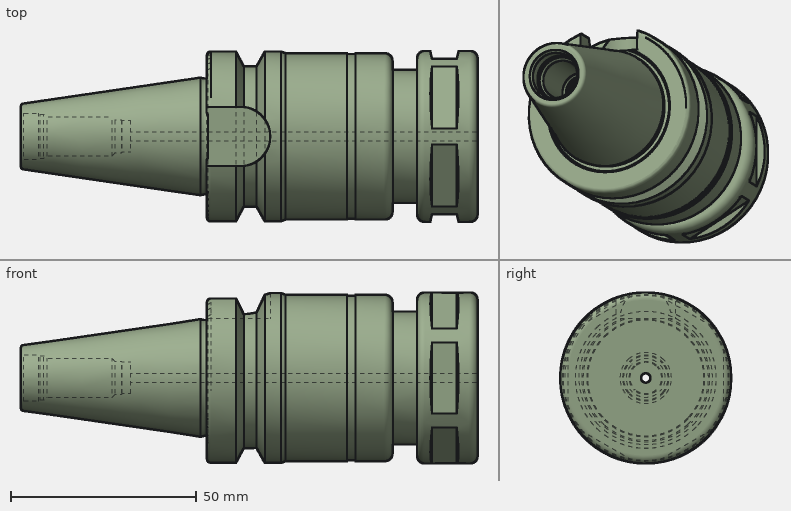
import cadquery as cq
import math

total_length = 123.4

taper_length = 48.5
taper_small_radius = 17.9 / 2
taper_large_radius = 15.9
taper_end_fillet = 0.9
relief_radius = 15.7
relief_chamfer = 1.1

flange_radius = 23.0
flange_start = 50.2
flange_end = 70.3
flange_fillet = 1.1
face_recess_radius = 17.3
face_recess_floor_radius = 16.9
face_recess_depth = 0.4
groove_radius = 19.0
groove_left_rim = 58.1
groove_left_floor = 60.2
groove_right_floor = 63.7
groove_right_rim = 65.9

body_radius = 45.0 / 2
body_start = 71.5
body_end = 100.5
body_fillet = 2.2
band_start = 88.1
band_end = 90.3
band_depth = 0.2
neck_radius = 18.0
nut_radius = 46.3 / 2
nut_start = 107.0
nut_fillet = 2.1

slot_width = 16.0
slot_end = 67.4
slot_floor_height = 16.0

flat_count = 6
flat_apothem = 42.1 / 2
flat_start = 111.0
flat_end = 117.7
flat_wall_run = 0.5

mouth_radius = 6.9
bore_steps = [
    (12.5, 0.7, 4.8),
    (12.0, 5.2, 6.2),
    (10.5, 7.0, 24.7),
    (9.0, 25.4, 27.1),
    (8.5, 27.4, 29.6),
]
coolant_radius = 1.2


def revolve_profile(profile):
    """Turn a closed (x, radius) outline about the X axis."""
    return profile.close().revolve(360, (0, 0, 0), (1, 0, 0))


def rounded_corner(profile, x, radius, size, rising):
    """Add a convex quarter round at the corner (x, radius) of a turned outline."""
    side = 1 if rising else -1
    centre_x = x + side * size
    offset = size * math.sqrt(0.5)
    middle = (centre_x - side * offset, radius - size + offset)
    on_face = (x, radius - size)
    on_rim = (centre_x, radius)
    start, end = (on_face, on_rim) if rising else (on_rim, on_face)
    return profile.lineTo(*start).threePointArc(middle, end)


def turned_body():
    profile = cq.Workplane("XY").moveTo(0, 0)
    profile = rounded_corner(profile, 0, taper_small_radius, taper_end_fillet, True)
    profile = (
        profile.lineTo(taper_length, taper_large_radius)
        .lineTo(taper_length + relief_chamfer, relief_radius)
        .lineTo(flange_start + face_recess_depth, relief_radius)
        .lineTo(flange_start + face_recess_depth, face_recess_floor_radius)
        .lineTo(flange_start, face_recess_radius)
    )
    profile = rounded_corner(profile, flange_start, flange_radius, flange_fillet, True)
    profile = (
        profile.lineTo(groove_left_rim, flange_radius)
        .lineTo(groove_left_floor, groove_radius)
        .lineTo(groove_right_floor, groove_radius)
        .lineTo(groove_right_rim, flange_radius)
        .lineTo(flange_end, flange_radius)
        .lineTo(body_start, body_radius)
        .lineTo(band_start, body_radius)
        .lineTo(band_start, body_radius - band_depth)
        .lineTo(band_end, body_radius - band_depth)
        .lineTo(band_end, body_radius)
    )
    profile = rounded_corner(profile, body_end, body_radius, body_fillet, False)
    profile = profile.lineTo(body_end, neck_radius).lineTo(nut_start, neck_radius)
    profile = rounded_corner(profile, nut_start, nut_radius, nut_fillet, True)
    profile = rounded_corner(profile, total_length, nut_radius, nut_fillet, False)
    return revolve_profile(profile.lineTo(total_length, 0))


def stepped_bore():
    profile = cq.Workplane("XY").moveTo(0, 0).lineTo(0, mouth_radius)
    for diameter, step_start, step_end in bore_steps:
        profile = profile.lineTo(step_start, diameter / 2).lineTo(step_end, diameter / 2)
    profile = (
        profile.lineTo(step_end, coolant_radius)
        .lineTo(total_length, coolant_radius)
        .lineTo(total_length, 0)
    )
    return revolve_profile(profile)


def drive_slot():
    half_width = slot_width / 2
    arc_start = slot_end - half_width
    return (
        cq.Workplane("XY", origin=(0, 0, slot_floor_height))
        .moveTo(flange_start, -half_width)
        .lineTo(arc_start, -half_width)
        .threePointArc((slot_end, 0), (arc_start, half_width))
        .lineTo(flange_start, half_width)
        .close()
        .extrude(flange_radius)
    )


def wrench_flat(angle):
    """Pocket with sloping end walls, turned about X from the +Y side."""
    return (
        cq.Workplane("XY")
        .moveTo(flat_start, flat_apothem)
        .lineTo(flat_end, flat_apothem)
        .lineTo(flat_end + flat_wall_run, nut_radius)
        .lineTo(flat_start - flat_wall_run, nut_radius)
        .close()
        .extrude(nut_radius / 2, both=True)
        .rotate((0, 0, 0), (1, 0, 0), angle)
    )


result = turned_body().cut(stepped_bore()).cut(drive_slot())
for index in range(flat_count):
    result = result.cut(wrench_flat(index * 360 / flat_count))